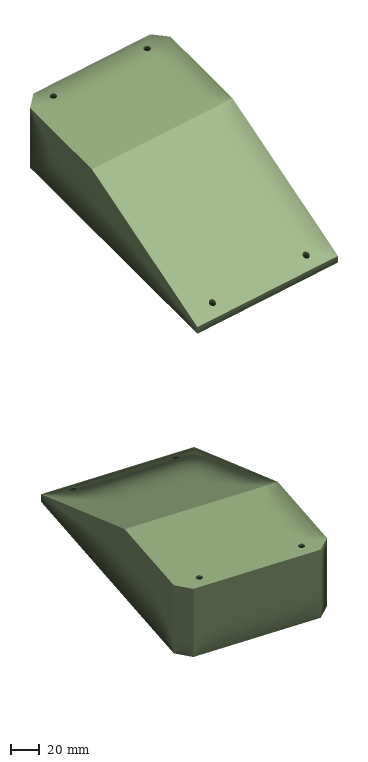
import cadquery as cq

length = 210.0
width = 120.0
height = 58.8

flat_length = 84.0
end_height = 6.5

corner_chamfer = 10.0

hole_diameter = 5.0
hole_end_inset = 10.0
hole_side_inset = 20.0


def make_wedge():
    """Side outline in XZ, extruded across the width and centred on Y."""
    outline = [
        (0, 0),
        (length, 0),
        (length, end_height),
        (flat_length, height),
        (0, height),
    ]
    return cq.Workplane("XZ").polyline(outline).close().extrude(width / 2, both=True)


def make_holes():
    """Cylinders that cut the four holes through the full height."""
    half_spacing = width / 2 - hole_side_inset
    centers = [
        (x, y)
        for x in (hole_end_inset, length - hole_end_inset)
        for y in (-half_spacing, half_spacing)
    ]
    return cq.Workplane("XY").pushPoints(centers).circle(hole_diameter / 2).extrude(height)


wedge = make_wedge().faces("<X").edges("|Z").chamfer(corner_chamfer)
result = wedge.cut(make_holes())